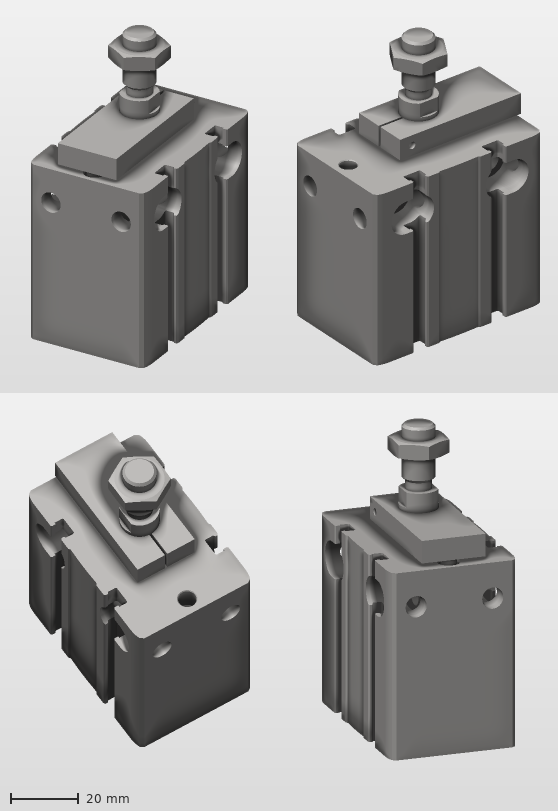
import cadquery as cq
import math


HOUSING_X = 40.0
HOUSING_Y = 62.0
HOUSING_Z = 58.0
CORNER_INSET_X = 0.65
CORNER_INSET_Y = 0.8
SIDE_CURVE_Y = 4.5
CORNER_BEVEL_X = 1.9

SLOT_Y = 14.5
SLOT_MOUTH = 5.0
SLOT_WIDTH = 6.2
SLOT_DEPTH = 4.6
LIP_DEPTH = 1.6
LIP_CHAMFER = 0.4
SLOT_CORNER_ROUND = 0.5
LIP_INNER_CHAMFER = 0.6

RELIEF_START_Y = 7.7
RELIEF_END_Y = 7.1
RELIEF_DEPTH = 0.5
RELIEF_MID_DEPTH = 0.3

MOUNT_HOLE_D = 6.6
MOUNT_HOLE_Z = 47.0
END_HOLE_X = 12.0
SIDE_HOLE_Y = 20.0
SEAT_WIDTH = 11.0
SEAT_SHIFT = 4.9
SEAT_DEPTH = 11.5

PORT_Y = 26.0
PORT_D = 5.5
PORT_MOUTH_D = 6.0
PORT_DEPTH = 7.4
DRILL_POINT_ANGLE = 118.0

PLATE_X = 20.0
PLATE_Y_MIN = -30.4
PLATE_Y_MAX = 14.5
PLATE_Z_MIN = 60.0
PLATE_THICKNESS = 7.0
SLIT_WIDTH = 0.8
CLAMP_HOLE_D = 2.4
CLAMP_HOLE_Y = 10.0
CLAMP_HOLE_DEPTH = 14.9

PIN_D = 4.9
PIN_Y = -26.0
PIN_HOLE_D = 6.0
PIN_HOLE_MOUTH_D = 7.0
PIN_DEPTH = 7.4

ROD_D = 12.0
ROD_DEPTH = 7.4
ROD_FLATS = 10.0
FLATS_Z = 68.4
SHOULDER_Z = 73.0
NECK_D = 8.0
THREAD_D = 10.0
THREAD_Z = 76.6
ROD_TOP_Z = 93.0
TIP_CHAMFER = 0.7

NUT_FLATS = 16.0
NUT_THICKNESS = 5.0
NUT_Z = 83.9
NUT_FACE_D = 14.8
NUT_CHAMFER_ANGLE = 15.0

PLATE_Z_MAX = PLATE_Z_MIN + PLATE_THICKNESS


def cylinder(diameter, z_bottom, z_top, y=0.0):
    return cq.Workplane("XY", origin=(0, y, z_bottom)).circle(diameter / 2).extrude(z_top - z_bottom)


def arc_points(radius, end_distance):
    """Middle and end of an arc, as (drop, distance) from the point where its tangent is level."""
    half_sweep = math.asin(end_distance / radius) / 2
    middle = (radius * (1 - math.cos(half_sweep)), radius * math.sin(half_sweep))
    end = (radius * (1 - math.cos(2 * half_sweep)), end_distance)
    return middle, end


def radius_from_drop(drop, distance):
    """Radius of an arc that falls by `drop` over `distance`, starting level."""
    return (distance ** 2 + drop ** 2) / (2 * drop)


def housing_block():
    """Extruded housing with bulging relief floors and curved corners, before the slots are cut."""
    side = HOUSING_X / 2
    end = HOUSING_Y / 2
    floor_radius = radius_from_drop(RELIEF_DEPTH - RELIEF_MID_DEPTH, RELIEF_END_Y)
    floor_mid, floor_end = arc_points(floor_radius, RELIEF_END_Y)
    floor_top = side - RELIEF_MID_DEPTH
    curve_start = end - SIDE_CURVE_Y
    curve_length = SIDE_CURVE_Y - CORNER_INSET_Y
    curve_radius = radius_from_drop(CORNER_INSET_X, curve_length)
    curve_mid, curve_end = arc_points(curve_radius, curve_length)
    quarter = (
        cq.Workplane("XY")
        .lineTo(floor_top, 0)
        .threePointArc(
            (floor_top - floor_mid[0], floor_mid[1]),
            (floor_top - floor_end[0], floor_end[1]),
        )
        .lineTo(side, RELIEF_START_Y)
        .lineTo(side, curve_start)
        .threePointArc(
            (side - curve_mid[0], curve_start + curve_mid[1]),
            (side - curve_end[0], curve_start + curve_end[1]),
        )
        .lineTo(side - CORNER_BEVEL_X, end)
        .lineTo(0, end)
        .close()
        .extrude(HOUSING_Z)
    )
    half = quarter.union(quarter.mirror("XZ"))
    return half.union(half.mirror("YZ")).clean()


def sensor_slot():
    """Undercut slot on the +X side at +Y, with chamfered lips and rounded floor corners."""
    side = HOUSING_X / 2
    floor = side - SLOT_DEPTH
    undercut = side - LIP_DEPTH
    mouth_inner = SLOT_Y - SLOT_MOUTH / 2
    mouth_outer = SLOT_Y + SLOT_MOUTH / 2
    wall_inner = SLOT_Y - SLOT_WIDTH / 2
    wall_outer = SLOT_Y + SLOT_WIDTH / 2
    outline = [
        (side, mouth_inner - LIP_INNER_CHAMFER),
        (side - LIP_CHAMFER, mouth_inner),
        (undercut + LIP_CHAMFER, mouth_inner),
        (undercut, wall_inner),
        (floor, wall_inner),
        (floor, wall_outer),
        (undercut, wall_outer),
        (undercut, mouth_outer),
        (side - LIP_CHAMFER, mouth_outer),
        (side, mouth_outer + LIP_CHAMFER),
    ]
    slot = cq.Workplane("XY").polyline(outline).close().extrude(HOUSING_Z)
    return slot.edges("|Z and <X").fillet(SLOT_CORNER_ROUND)


def cut_sensor_slots(housing):
    slot = sensor_slot()
    slot_pair = slot.add(slot.mirror("XZ"))
    for pair in (slot_pair, slot_pair.mirror("YZ")):
        housing = housing.cut(pair)
    return housing


def side_seat(direction):
    """Pair of obround seats sunk into the side facing `direction` (+1 or -1 in X)."""
    seat_centre = SIDE_HOLE_Y - SEAT_SHIFT / 2
    plane_x = direction * (HOUSING_X / 2 - SEAT_DEPTH)
    return (
        cq.Workplane("YZ", origin=(plane_x, 0, MOUNT_HOLE_Z))
        .pushPoints([(-seat_centre, 0), (seat_centre, 0)])
        .slot2D(SEAT_WIDTH + SEAT_SHIFT, SEAT_WIDTH)
        .extrude(direction * SEAT_DEPTH)
    )


def mounting_holes():
    side_holes = (
        cq.Workplane("YZ", origin=(0, 0, MOUNT_HOLE_Z))
        .pushPoints([(-SIDE_HOLE_Y, 0), (SIDE_HOLE_Y, 0)])
        .circle(MOUNT_HOLE_D / 2)
        .extrude(HOUSING_X / 2, both=True)
    )
    end_holes = (
        cq.Workplane("XZ", origin=(0, 0, MOUNT_HOLE_Z))
        .pushPoints([(-END_HOLE_X, 0), (END_HOLE_X, 0)])
        .circle(MOUNT_HOLE_D / 2)
        .extrude(HOUSING_Y / 2, both=True)
    )
    return side_holes.union(end_holes)


def countersink(hole_d, mouth_d, y):
    """45-degree cone that widens a vertical hole at the housing top."""
    depth = (mouth_d - hole_d) / 2
    cone = cq.Solid.makeCone(hole_d / 2, mouth_d / 2, depth)
    return cq.Workplane(cone).translate((0, y, HOUSING_Z - depth))


def top_port():
    """Drilled hole with a countersunk mouth and a conical bottom."""
    bottom = HOUSING_Z - PORT_DEPTH
    point_height = PORT_D / 2 / math.tan(math.radians(DRILL_POINT_ANGLE / 2))
    drill_point = cq.Workplane(cq.Solid.makeCone(0, PORT_D / 2, point_height))
    drill_point = drill_point.translate((0, PORT_Y, bottom - point_height))
    return (
        cylinder(PORT_D, bottom, HOUSING_Z, PORT_Y)
        .union(drill_point)
        .union(countersink(PORT_D, PORT_MOUTH_D, PORT_Y))
    )


def pin_hole():
    bore = cylinder(PIN_HOLE_D, HOUSING_Z - PIN_DEPTH, HOUSING_Z, PIN_Y)
    return bore.union(countersink(PIN_HOLE_D, PIN_HOLE_MOUTH_D, PIN_Y))


def make_housing():
    housing = cut_sensor_slots(housing_block())
    for direction in (-1, 1):
        housing = housing.cut(side_seat(direction))
    rod_hole = cylinder(ROD_D, HOUSING_Z - ROD_DEPTH, HOUSING_Z)
    return housing.cut(mounting_holes()).cut(top_port()).cut(pin_hole()).cut(rod_hole)


def make_plate():
    """Guide plate with a split clamp around the rod."""
    length = PLATE_Y_MAX - PLATE_Y_MIN
    plate = cq.Workplane("XY").box(PLATE_X, length, PLATE_THICKNESS).translate(
        (0, (PLATE_Y_MIN + PLATE_Y_MAX) / 2, (PLATE_Z_MIN + PLATE_Z_MAX) / 2)
    )
    rod_hole = cylinder(ROD_D, PLATE_Z_MIN, PLATE_Z_MAX)
    slit = (
        cq.Workplane("XY", origin=(0, PLATE_Y_MAX / 2, PLATE_Z_MIN))
        .rect(SLIT_WIDTH, PLATE_Y_MAX)
        .extrude(PLATE_THICKNESS)
    )
    clamp_hole = (
        cq.Workplane("YZ", origin=(-PLATE_X / 2, CLAMP_HOLE_Y, (PLATE_Z_MIN + PLATE_Z_MAX) / 2))
        .circle(CLAMP_HOLE_D / 2)
        .extrude(CLAMP_HOLE_DEPTH)
    )
    return plate.cut(rod_hole).cut(slit).cut(clamp_hole)


def make_pin():
    """Guide pin standing in its housing hole and reaching up to the plate."""
    return cylinder(PIN_D, HOUSING_Z - PIN_DEPTH, PLATE_Z_MIN, PIN_Y)


def make_rod():
    """Turned rod with two wrench flats facing -X and +X below the shoulder."""
    bottom = HOUSING_Z - ROD_DEPTH
    neck_chamfer = (THREAD_D - NECK_D) / 2
    outline = [
        (0, bottom),
        (ROD_D / 2, bottom),
        (ROD_D / 2, SHOULDER_Z),
        (NECK_D / 2, SHOULDER_Z),
        (NECK_D / 2, THREAD_Z - neck_chamfer),
        (THREAD_D / 2, THREAD_Z),
        (THREAD_D / 2, ROD_TOP_Z - TIP_CHAMFER),
        (THREAD_D / 2 - TIP_CHAMFER, ROD_TOP_Z),
        (0, ROD_TOP_Z),
    ]
    rod = cq.Workplane("XZ").polyline(outline).close().revolve(360, (0, 0), (0, 1))
    flats_height = SHOULDER_Z - FLATS_Z
    outside_flats = (
        cq.Workplane("XY", origin=(0, 0, FLATS_Z))
        .rect(2 * ROD_D, 2 * ROD_D)
        .rect(ROD_FLATS, 2 * ROD_D)
        .extrude(flats_height)
    )
    return rod.cut(outside_flats)


def make_nut():
    """Hexagon nut with corners on the Y axis, chamfered on both faces."""
    corner_d = NUT_FLATS / math.cos(math.pi / 6)
    corner_drop = (corner_d - NUT_FACE_D) / 2 * math.tan(math.radians(NUT_CHAMFER_ANGLE))
    nut_top = NUT_Z + NUT_THICKNESS
    hexagon = (
        cq.Workplane("XY", origin=(0, 0, NUT_Z))
        .transformed(rotate=(0, 0, 90))
        .polygon(6, corner_d)
        .extrude(NUT_THICKNESS)
    )
    envelope_outline = [
        (0, NUT_Z),
        (NUT_FACE_D / 2, NUT_Z),
        (corner_d / 2, NUT_Z + corner_drop),
        (corner_d / 2, nut_top - corner_drop),
        (NUT_FACE_D / 2, nut_top),
        (0, nut_top),
    ]
    envelope = cq.Workplane("XZ").polyline(envelope_outline).close().revolve(360, (0, 0), (0, 1))
    return hexagon.intersect(envelope).cut(cylinder(THREAD_D, NUT_Z, nut_top))


housing = make_housing()
plate = make_plate()
pin = make_pin()
rod = make_rod()
nut = make_nut()

bodies = [housing, plate, pin, rod, nut]
result = cq.Compound.makeCompound([body.solids().val() for body in bodies])